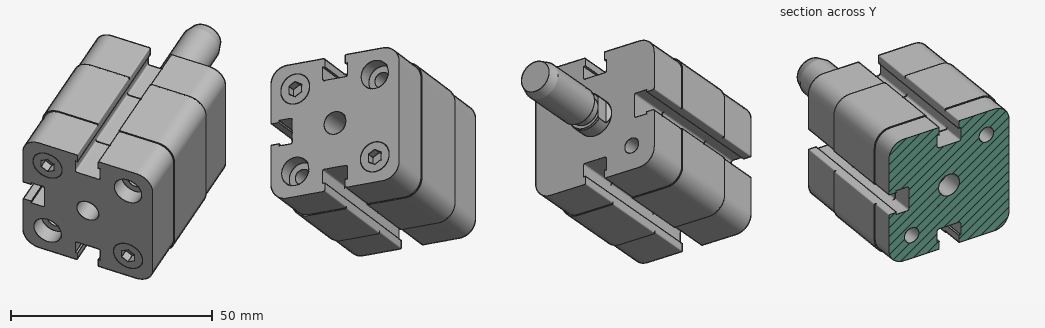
import cadquery as cq
import math


BODY_LENGTH = 43.0
CAP_LENGTH = 12.2
BARREL_LENGTH = BODY_LENGTH - 2 * CAP_LENGTH
BARREL_WIDTH = 36.1
CAP_WIDTH = 35.5
BARREL_CORNER_RADIUS = 4.7
CAP_CORNER_RADIUS = 4.5

SLOT_MOUTH_WIDTH = 5.65
SLOT_INNER_WIDTH = 6.8
SLOT_LIP_HEIGHT = 15.5
BARREL_SLOT_FLOOR = 12.0
CAP_SLOT_FLOOR = 11.85
SLOT_FLOOR_FILLET = 0.5
SLOT_MOUTH_FILLET = 0.35
SLOT_ANGLES = (0, 90, 180)

HOLE_OFFSET = 11.0
MOUNTING_HOLE_DIAMETER = 4.13
COUNTERBORE_DIAMETER = 7.5
COUNTERBORE_DEPTH = 4.3
SCREW_BORE_DIAMETER = 8.0
SCREW_HEAD_DIAMETER = 7.9
SCREW_GAP_DEPTH = 4.0
SOCKET_ACROSS_FLATS = 3.5
SOCKET_DEPTH = 2.5
CENTRE_HOLE_DIAMETER = 6.0
CENTRE_HOLE_DEPTH = 12.0

ROD_DIAMETER = 10.0
ROD_LENGTH = 26.5
COLLAR_LENGTH = 4.5
COLLAR_BEVEL_LENGTH = 0.45
COLLAR_BEVEL_DEPTH = 0.2
NECK_DIAMETER = 7.9
NECK_LENGTH = 2.5
THREAD_RUNOUT_LENGTH = 0.6
TIP_DIAMETER = 8.3
TIP_TAPER_LENGTH = 2.75
FLATS_WIDTH = 8.0
FLATS_RUNOUT = (ROD_DIAMETER - FLATS_WIDTH) / 2


def section(y):
    """Workplane across the rod axis at y, facing +Y, with its local x along -X and y along +Z."""
    plane = cq.Plane(origin=(0, y, 0), xDir=(-1, 0, 0), normal=(0, 1, 0))
    return cq.Workplane(plane)


def slot_cutter(start, length, half_width, floor):
    """T-slot in the top side, with rounded floor corners and rounded lips."""
    inner_height = SLOT_LIP_HEIGHT - floor
    inner = (
        section(start)
        .center(0, floor + inner_height / 2)
        .rect(SLOT_INNER_WIDTH, inner_height)
        .extrude(length)
        .edges("|Y and <Z")
        .fillet(SLOT_FLOOR_FILLET)
    )
    inner_middle = floor + inner_height / 2
    mouth_half = SLOT_MOUTH_WIDTH / 2
    shoulder = half_width - SLOT_MOUTH_FILLET
    flare_half = mouth_half + SLOT_MOUTH_FILLET
    arc_offset = SLOT_MOUTH_FILLET * (1 - math.sqrt(0.5))
    mouth = (
        section(start)
        .moveTo(-mouth_half, inner_middle)
        .lineTo(mouth_half, inner_middle)
        .lineTo(mouth_half, shoulder)
        .threePointArc((mouth_half + arc_offset, half_width - arc_offset), (flare_half, half_width))
        .lineTo(-flare_half, half_width)
        .threePointArc((-mouth_half - arc_offset, half_width - arc_offset), (-mouth_half, shoulder))
        .close()
        .extrude(length)
    )
    return inner.union(mouth)


def body_segment(start, length, width, corner_radius, floor):
    """Rounded square length of the body with its three T-slots."""
    segment = section(start).rect(width, width).extrude(length).edges("|Y").fillet(corner_radius)
    cutter = slot_cutter(start, length, width / 2, floor)
    for angle in SLOT_ANGLES:
        segment = segment.cut(cutter.rotate((0, 0, 0), (0, -1, 0), angle))
    return segment


def make_body():
    rear_cap = body_segment(0, CAP_LENGTH, CAP_WIDTH, CAP_CORNER_RADIUS, CAP_SLOT_FLOOR)
    barrel = body_segment(
        CAP_LENGTH, BARREL_LENGTH, BARREL_WIDTH, BARREL_CORNER_RADIUS, BARREL_SLOT_FLOOR
    )
    front_cap = rear_cap.translate((0, BODY_LENGTH - CAP_LENGTH, 0))
    return rear_cap.union(barrel).union(front_cap)


def cylinder(x, z, diameter, length):
    """Cylinder along Y, starting at the rear face."""
    start = cq.Vector(x, 0, z)
    axis = cq.Vector(0, 1, 0)
    return cq.Workplane(cq.Solid.makeCylinder(diameter / 2, length, start, axis))


def cut_mounting_hole(body, x, z):
    body = body.cut(cylinder(x, z, MOUNTING_HOLE_DIAMETER, BODY_LENGTH))
    return body.cut(cylinder(x, z, COUNTERBORE_DIAMETER, COUNTERBORE_DEPTH))


def cut_cap_screw(body, x, z):
    """Narrow ring gap around a flush screw head, and its hexagon socket."""
    gap = cylinder(x, z, SCREW_BORE_DIAMETER, SCREW_GAP_DEPTH).cut(
        cylinder(x, z, SCREW_HEAD_DIAMETER, SCREW_GAP_DEPTH)
    )
    socket = (
        cq.Workplane("XY")
        .polygon(6, SOCKET_ACROSS_FLATS, circumscribed=True)
        .extrude(SOCKET_DEPTH)
        .rotate((0, 0, 0), (1, 0, 0), -90)
        .translate((x, 0, z))
    )
    return body.cut(gap).cut(socket)


def make_rod():
    rod_radius = ROD_DIAMETER / 2
    neck_radius = NECK_DIAMETER / 2
    collar_end = BODY_LENGTH + COLLAR_LENGTH
    neck_end = collar_end + NECK_LENGTH
    tip = BODY_LENGTH + ROD_LENGTH
    root = BODY_LENGTH - CAP_LENGTH / 2
    profile = [
        (0, root),
        (rod_radius, root),
        (rod_radius, collar_end - COLLAR_BEVEL_LENGTH),
        (rod_radius - COLLAR_BEVEL_DEPTH, collar_end),
        (neck_radius, collar_end),
        (neck_radius, neck_end),
        (rod_radius, neck_end + THREAD_RUNOUT_LENGTH),
        (rod_radius, tip - TIP_TAPER_LENGTH),
        (TIP_DIAMETER / 2, tip),
        (0, tip),
    ]
    rod = cq.Workplane("XY").polyline(profile).close().revolve(360, (0, 0, 0), (0, 1, 0))
    flat_half = FLATS_WIDTH / 2
    flat_cutter = (
        cq.Workplane("XY")
        .polyline([
            (rod_radius, BODY_LENGTH),
            (flat_half, BODY_LENGTH + FLATS_RUNOUT),
            (flat_half, collar_end),
            (rod_radius, collar_end),
        ])
        .close()
        .extrude(ROD_DIAMETER, both=True)
    )
    return rod.cut(flat_cutter).cut(flat_cutter.mirror("YZ"))


def make_cylinder():
    body = make_body()
    for side in (-1, 1):
        body = cut_mounting_hole(body, side * HOLE_OFFSET, side * HOLE_OFFSET)
        body = cut_cap_screw(body, side * HOLE_OFFSET, -side * HOLE_OFFSET)
    body = body.cut(cylinder(0, 0, CENTRE_HOLE_DIAMETER, CENTRE_HOLE_DEPTH))
    return body.union(make_rod())


result = make_cylinder()